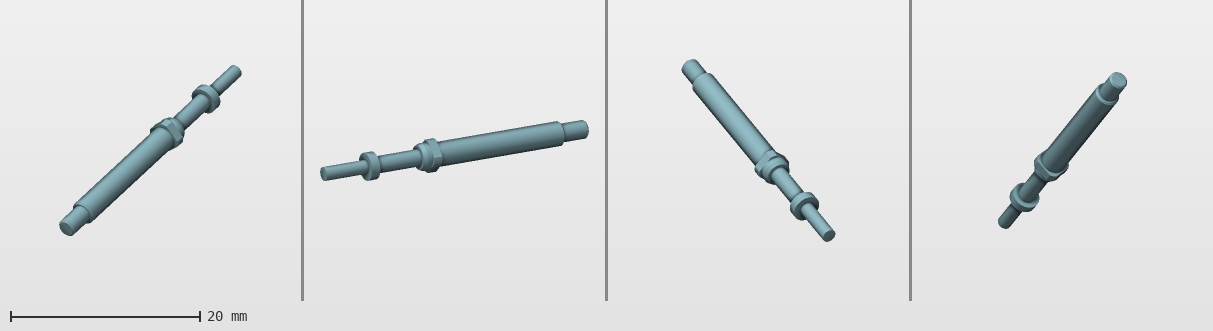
import cadquery as cq

overall_length = 31.3

tip_diameter = 2.0
barrel_diameter = 2.65
collar_diameter = 3.0
neck_diameter = 1.85
tail_diameter = 1.5

tip_length = 3.0
barrel_length = 15.0
square_length = 1.0
collar_length = 1.0
flange_length = 1.0
tail_length = 5.0
neck_length = overall_length - (
    tip_length + barrel_length + square_length + collar_length + flange_length + tail_length
)

square_across_flats = collar_diameter
square_corner_diameter = 3.6

tip_chamfer = 0.2
barrel_chamfer = 0.2
collar_taper_length = 0.45
collar_taper_depth = 0.2

tip_start = -overall_length / 2
barrel_start = tip_start + tip_length
square_start = barrel_start + barrel_length
collar_start = square_start + square_length
neck_start = collar_start + collar_length
flange_start = neck_start + neck_length
tail_start = flange_start + flange_length


def section_plane(start):
    """Plane across the pin axis at a given Y, facing +Y."""
    return cq.Workplane(cq.Plane(origin=(0, start, 0), xDir=(1, 0, 0), normal=(0, 1, 0)))


def round_section(start, length, diameter):
    return section_plane(start).circle(diameter / 2).extrude(length)


def square_section():
    """Square bar standing on its corner, with the corners turned to a circle."""
    bar = (
        section_plane(square_start)
        .transformed(rotate=(0, 0, 45))
        .rect(square_across_flats, square_across_flats)
        .extrude(square_length)
    )
    return bar.intersect(round_section(square_start, square_length, square_corner_diameter))


def tapered_collar():
    collar = round_section(collar_start, collar_length, collar_diameter)
    return collar.faces(">Y").chamfer(collar_taper_length, collar_taper_depth)


tip = round_section(tip_start, tip_length, tip_diameter).faces("<Y").chamfer(tip_chamfer)
barrel = round_section(barrel_start, barrel_length, barrel_diameter).faces("<Y").chamfer(barrel_chamfer)
neck = round_section(neck_start, neck_length, neck_diameter)
flange = round_section(flange_start, flange_length, collar_diameter)
tail = round_section(tail_start, tail_length, tail_diameter)

result = (
    tip.union(barrel)
    .union(square_section())
    .union(tapered_collar())
    .union(neck)
    .union(flange)
    .union(tail)
)